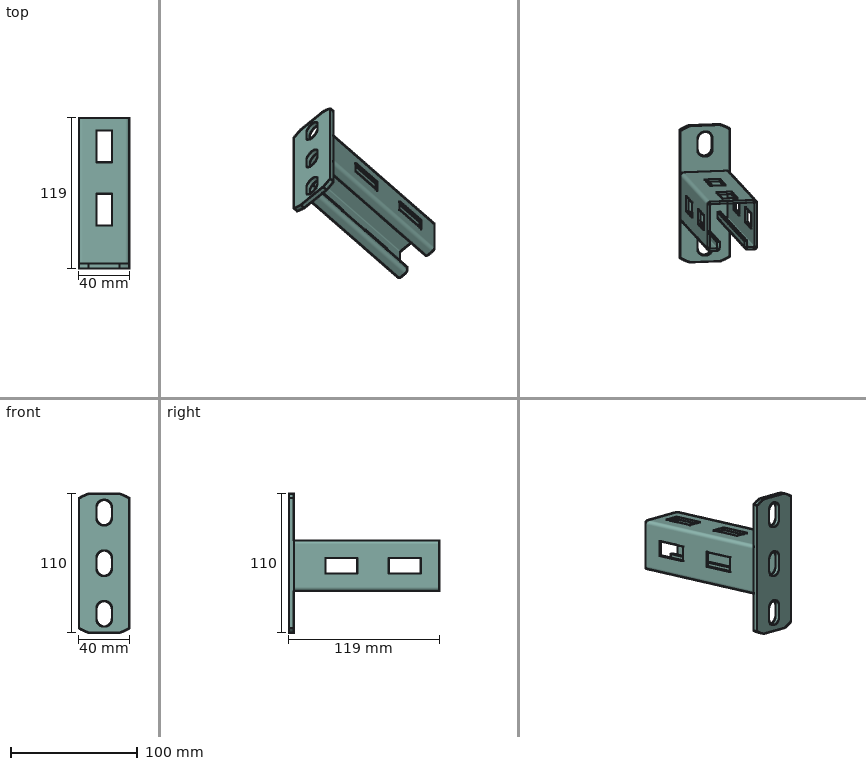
import cadquery as cq
import math

total_length = 119.0
width = 40.0
plate_height = 110.0
plate_thickness = 4.0

top_flat_half = 12.3
corner_radius = 38.1
slot_width = 12.0
slot_length = 20.0
slot_pitch = 40.0
slot_count = 3

channel_drop = 2.0
wall = 2.0
bend_radius = 3.0
lip_width = 10.0
lip_height = 7.0
window_length = 25.0
window_width = 12.0
window_pitch = 50.0
window_count = 2
top_window_margin = 10.0
side_window_margin = 15.0

channel_length = total_length - plate_thickness


def make_plate():
    """Mounting plate with arc-trimmed corners and a column of slots; front face at Y = 0."""
    half_width = width / 2
    half_height = plate_height / 2
    arc_centre_z = half_height - math.sqrt(corner_radius**2 - top_flat_half**2)
    shoulder_z = arc_centre_z + math.sqrt(corner_radius**2 - half_width**2)

    plate = (
        cq.Workplane("XZ")
        .moveTo(-top_flat_half, half_height)
        .lineTo(top_flat_half, half_height)
        .radiusArc((half_width, shoulder_z), corner_radius)
        .lineTo(half_width, -shoulder_z)
        .radiusArc((top_flat_half, -half_height), corner_radius)
        .lineTo(-top_flat_half, -half_height)
        .radiusArc((-half_width, -shoulder_z), corner_radius)
        .lineTo(-half_width, shoulder_z)
        .radiusArc((-top_flat_half, half_height), corner_radius)
        .close()
        .extrude(-plate_thickness)
    )
    slots = (
        cq.Workplane("XZ")
        .rarray(1.2, slot_pitch, 1, slot_count)
        .slot2D(slot_length, slot_width, 90)
        .extrude(-plate_thickness)
    )
    return plate.cut(slots)


def channel_outline():
    """Corner points of the channel section, and the outer and inner bend corners on its +X half."""
    half = width / 2
    inner_half = half - wall
    lip_x = half - lip_width
    lip_top = -half + lip_height
    outer_bends = [(half, half), (half, -half), (lip_x, -half)]
    inner_bends = [(lip_x + wall, -inner_half), (inner_half, -inner_half), (inner_half, inner_half)]
    right_half = outer_bends + [(lip_x, lip_top), (lip_x + wall, lip_top)] + inner_bends
    left_half = [(-x, z) for x, z in reversed(right_half)]
    return right_half + left_half, outer_bends, inner_bends


def round_bends(body, corners, radius):
    """Round the lengthwise edges at the given section corners, on both sides of the channel."""
    middle_y = plate_thickness + channel_length / 2
    for x, z in corners:
        for side in (-1, 1):
            nearest = cq.selectors.NearestToPointSelector((side * x, middle_y, z - channel_drop))
            body = body.edges("|Y").edges(nearest).fillet(radius)
    return body


def make_channel():
    """Channel open along the bottom, with upturned lips and windows in its top and sides."""
    points, outer_bends, inner_bends = channel_outline()
    channel = (
        cq.Workplane("XZ", origin=(0, plate_thickness, -channel_drop))
        .polyline(points)
        .close()
        .extrude(-channel_length)
    )
    channel = round_bends(channel, outer_bends, bend_radius)
    channel = round_bends(channel, inner_bends, bend_radius - wall)

    top_window = cq.Workplane("XY").box(window_width, window_length, width)
    side_window = cq.Workplane("XY").box(width, window_length, window_width)
    for index in range(window_count):
        row_y = total_length - window_length / 2 - index * window_pitch
        channel = channel.cut(top_window.translate((0, row_y - top_window_margin, -channel_drop)))
        channel = channel.cut(side_window.translate((0, row_y - side_window_margin, -channel_drop)))
    return channel


plate = make_plate()
channel = make_channel()
result = cq.Compound.makeCompound([plate.val(), channel.val()])